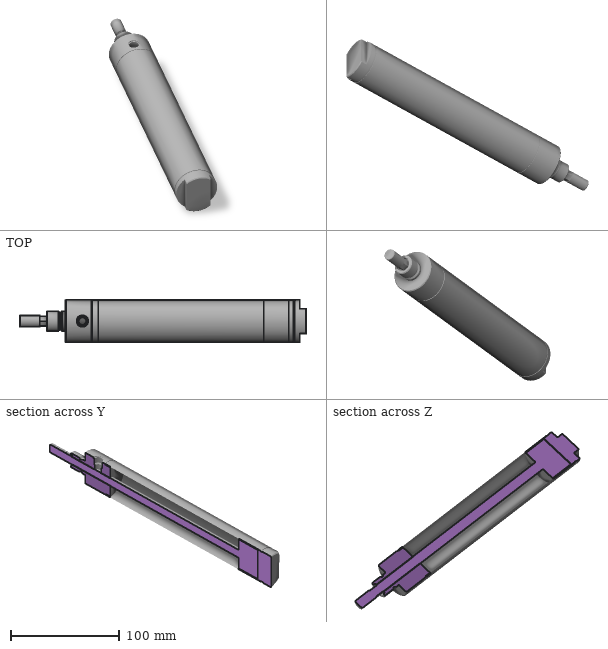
import cadquery as cq

OVERALL_LENGTH = 265.0
BODY_DIAMETER = 39.5
BODY_RADIUS = BODY_DIAMETER / 2

ROD_RADIUS = 5.3
ROD_CHAMFER = 0.5
HEX_START = 18.5
HEX_SIDES = 6
PISTON_LENGTH = 23.3

NOSE_START = 25.0
NOSE_RADIUS = 9.3
NOSE_CHAMFER = 0.8
GROOVE_START = 35.5
GROOVE_END = 39.5
GROOVE_DEPTH = 1.3
HEAD_START = 42.2
HEAD_END = 67.0
HEAD_CHAMFER = 0.8
HEAD_SPIGOT_LENGTH = 5.8
HEAD_SPIGOT_END = HEAD_END + HEAD_SPIGOT_LENGTH
REVEAL_WIDTH = 0.8
REVEAL_DEPTH = 0.5

MOUTH_RADIUS = 6.5
MOUTH_DEPTH = 2.0

HEX_END = NOSE_START + MOUTH_DEPTH

PORT_X = 58.0
PORT_RADIUS = 4.5
PORT_DEPTH = 8.0
PORT_MOUTH_RADIUS = 5.3
PORT_MOUTH_DEPTH = 1.0
PASSAGE_RADIUS = 3.5
PORT_CONE_DEPTH = PORT_RADIUS - PASSAGE_RADIUS

TUBE_WALL = 0.65
BORE_RADIUS = BODY_RADIUS - TUBE_WALL
TUBE_END = 253.0

CAP_SPIGOT_LENGTH = 4.0
CAP_GROOVE_WIDTH = 1.5
CAP_GROOVE_DEPTH = 0.5
CAP_CHAMFER = 0.8
TANG_START = 259.0
TANG_WIDTH = 23.0

PISTON_END = TUBE_END - CAP_SPIGOT_LENGTH
PISTON_START = PISTON_END - PISTON_LENGTH


def cylinder(start, end, radius):
    """Solid cylinder along the X axis between two X positions."""
    return cq.Workplane("YZ").workplane(offset=start).circle(radius).extrude(end - start)


def revolved(profile):
    """Solid of revolution about X from (x, radius) points whose ends lie on the axis."""
    return cq.Workplane("XY").polyline(profile).close().revolve(360, (0, 0, 0), (1, 0, 0))


def slabs_beyond(start, end, width):
    """Pair of blocks that leave only the given width across Y between two X positions."""
    length = end - start
    span = BODY_DIAMETER
    stock = cq.Workplane("XY").box(length, 2 * span, 2 * span)
    kept = cq.Workplane("XY").box(length, width, 2 * span)
    return stock.cut(kept).translate(((start + end) / 2, 0, 0))


def make_rod():
    """Rod with a hexagonal wrench length, in one piece with its piston."""
    hexagon = (
        cq.Workplane("YZ").workplane(offset=HEX_START).transformed(rotate=(0, 0, 90))
        .polygon(HEX_SIDES, 2 * ROD_RADIUS).extrude(HEX_END - HEX_START)
    )
    rod = cylinder(0, HEX_START, ROD_RADIUS).faces("<X").chamfer(ROD_CHAMFER)
    rod = rod.union(hexagon).union(cylinder(HEX_END, PISTON_END, ROD_RADIUS))
    return rod.union(cylinder(PISTON_START, PISTON_END, BORE_RADIUS))


def port_bore(bottom_z, radius):
    """Cutter on the port axis that runs upward from a given height to above the head."""
    bore = cq.Workplane("XY").workplane(offset=bottom_z).center(PORT_X, 0)
    return bore.circle(radius).extrude(BODY_DIAMETER - bottom_z)


def make_port():
    """Cutter for the air port: shallow mouth, main bore, drill cone and passage to the rod."""
    floor_z = BODY_RADIUS - PORT_DEPTH
    cone = cq.Solid.makeCone(
        PASSAGE_RADIUS, PORT_RADIUS, PORT_CONE_DEPTH,
        cq.Vector(PORT_X, 0, floor_z - PORT_CONE_DEPTH), cq.Vector(0, 0, 1),
    )
    port = port_bore(0, PASSAGE_RADIUS).union(cq.Workplane(cone))
    port = port.union(port_bore(floor_z, PORT_RADIUS))
    return port.union(port_bore(BODY_RADIUS - PORT_MOUTH_DEPTH, PORT_MOUTH_RADIUS))


def make_head():
    """Front head: grooved nose, chamfered body, shallow reveal at the tube and a spigot inside the tube."""
    groove_radius = NOSE_RADIUS - GROOVE_DEPTH
    head = revolved([
        (NOSE_START, 0),
        (NOSE_START, NOSE_RADIUS - NOSE_CHAMFER),
        (NOSE_START + NOSE_CHAMFER, NOSE_RADIUS),
        (GROOVE_START, NOSE_RADIUS),
        (GROOVE_START + GROOVE_DEPTH, groove_radius),
        (GROOVE_END - GROOVE_DEPTH, groove_radius),
        (GROOVE_END, NOSE_RADIUS),
        (HEAD_START, NOSE_RADIUS),
        (HEAD_START, BODY_RADIUS - HEAD_CHAMFER),
        (HEAD_START + HEAD_CHAMFER, BODY_RADIUS),
        (HEAD_END - REVEAL_WIDTH, BODY_RADIUS),
        (HEAD_END - REVEAL_WIDTH, BODY_RADIUS - REVEAL_DEPTH),
        (HEAD_END, BODY_RADIUS - REVEAL_DEPTH),
        (HEAD_END, BORE_RADIUS),
        (HEAD_SPIGOT_END, BORE_RADIUS),
        (HEAD_SPIGOT_END, 0),
    ])
    head = head.cut(cylinder(NOSE_START, HEAD_SPIGOT_END, ROD_RADIUS))
    head = head.cut(cylinder(NOSE_START, HEX_END, MOUTH_RADIUS))
    return head.cut(make_port())


def make_tube():
    """Thin tube between the head and the rear cap."""
    tube = cylinder(HEAD_END, TUBE_END, BODY_RADIUS)
    return tube.cut(cylinder(HEAD_END, TUBE_END, BORE_RADIUS))


def make_cap():
    """Rear cap: spigot inside the tube, shallow groove and a flat-sided tang."""
    groove_end = TUBE_END + CAP_GROOVE_WIDTH
    cap = revolved([
        (PISTON_END, 0),
        (PISTON_END, BORE_RADIUS),
        (TUBE_END, BORE_RADIUS),
        (TUBE_END, BODY_RADIUS - CAP_GROOVE_DEPTH),
        (groove_end, BODY_RADIUS - CAP_GROOVE_DEPTH),
        (groove_end, BODY_RADIUS),
        (OVERALL_LENGTH - CAP_CHAMFER, BODY_RADIUS),
        (OVERALL_LENGTH, BODY_RADIUS - CAP_CHAMFER),
        (OVERALL_LENGTH, 0),
    ])
    return cap.cut(slabs_beyond(TANG_START, OVERALL_LENGTH, TANG_WIDTH))


rod = make_rod()
head = make_head()
tube = make_tube()
cap = make_cap()

result = cq.Compound.makeCompound([rod.val(), head.val(), tube.val(), cap.val()])